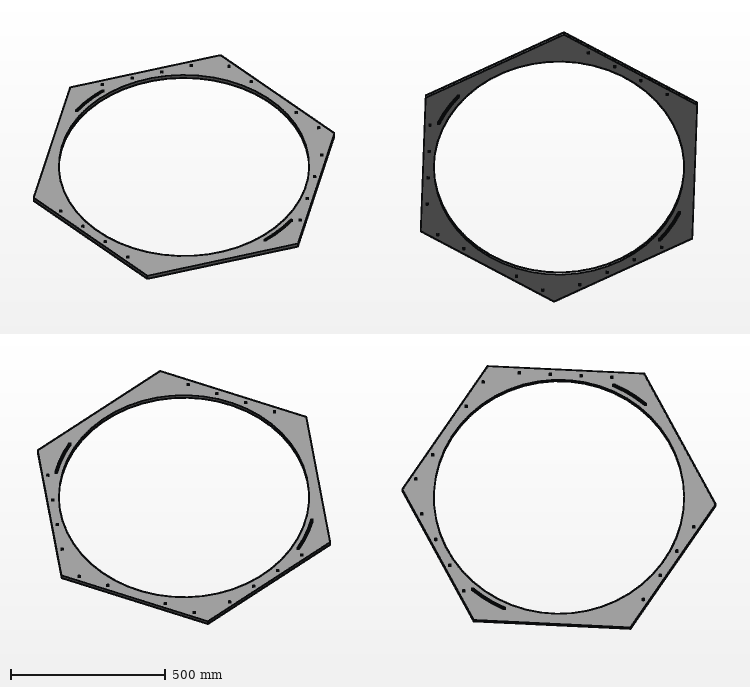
import cadquery as cq
import math

ACROSS_FLATS = 880.0
THICKNESS = 15.0
BORE_DIAMETER = 810.0
HOLE_DIAMETER = 6.4
HOLE_EDGE_DISTANCE = 17.5
SLOT_WIDTH = HOLE_DIAMETER
SLOT_RADIUS = 425.0
SLOT_HALF_ANGLE = 8.25

EVEN_ROW = (-150.0, -50.0, 50.0, 150.0)
SPLIT_ROW = (-200.0, -100.0, 100.0, 200.0)

DRILLED_SIDES = (
    (30.0, EVEN_ROW),
    (90.0, SPLIT_ROW),
    (150.0, EVEN_ROW),
    (270.0, EVEN_ROW),
)
SLOT_DIRECTIONS = (0.0, 180.0)

ACROSS_CORNERS = ACROSS_FLATS / math.cos(math.radians(30.0))
HOLE_ROW_DISTANCE = ACROSS_FLATS / 2.0 - HOLE_EDGE_DISTANCE


def polar_point(radius, angle):
    """Point at a radius and an angle in degrees from +X."""
    turn = math.radians(angle)
    return (radius * math.cos(turn), radius * math.sin(turn))


def ring_plate():
    """Hexagonal plate, corners on the X axis, with a large round opening."""
    plate = cq.Workplane("XY").polygon(6, ACROSS_CORNERS).extrude(THICKNESS)
    bore = cq.Workplane("XY").circle(BORE_DIAMETER / 2.0).extrude(THICKNESS)
    return plate.cut(bore)


def side_holes(facing, offsets):
    """Row of through-hole cutters parallel to the side facing the given direction."""
    row = [(HOLE_ROW_DISTANCE, offset) for offset in offsets]
    cutters = cq.Workplane("XY").pushPoints(row).circle(HOLE_DIAMETER / 2.0).extrude(THICKNESS)
    return cutters.rotate((0, 0, 0), (0, 0, 1), facing)


def arc_slot(direction):
    """Round-ended slot cutter that follows a circle about the plate centre."""
    end_radius = SLOT_WIDTH / 2.0
    inner = SLOT_RADIUS - end_radius
    outer = SLOT_RADIUS + end_radius
    centre_x, centre_y = polar_point(SLOT_RADIUS, SLOT_HALF_ANGLE)
    step_x, step_y = polar_point(end_radius, SLOT_HALF_ANGLE + 90.0)
    tip_x = centre_x + step_x
    tip_y = centre_y + step_y
    cutter = (
        cq.Workplane("XY")
        .moveTo(*polar_point(outer, -SLOT_HALF_ANGLE))
        .threePointArc((outer, 0.0), polar_point(outer, SLOT_HALF_ANGLE))
        .threePointArc((tip_x, tip_y), polar_point(inner, SLOT_HALF_ANGLE))
        .threePointArc((inner, 0.0), polar_point(inner, -SLOT_HALF_ANGLE))
        .threePointArc((tip_x, -tip_y), polar_point(outer, -SLOT_HALF_ANGLE))
        .close()
        .extrude(THICKNESS)
    )
    return cutter.rotate((0, 0, 0), (0, 0, 1), direction)


result = ring_plate()
for side_facing, hole_offsets in DRILLED_SIDES:
    result = result.cut(side_holes(side_facing, hole_offsets))
for slot_direction in SLOT_DIRECTIONS:
    result = result.cut(arc_slot(slot_direction))